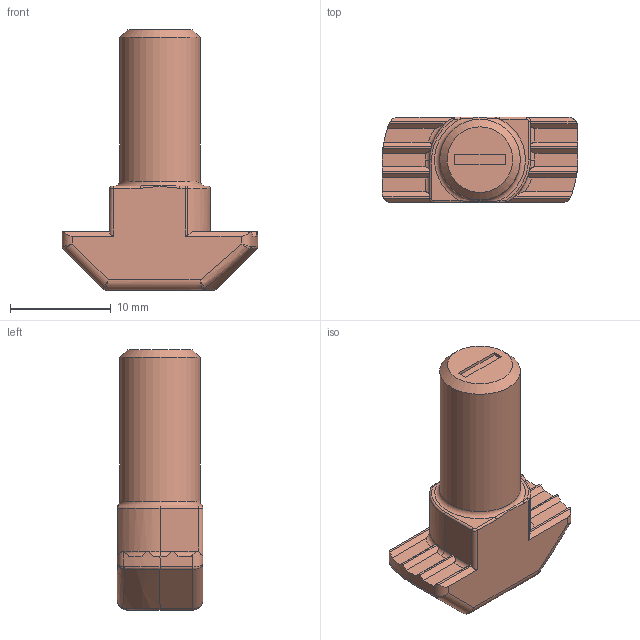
import cadquery as cq
import math

HEAD_LENGTH = 19.4
HEAD_WIDTH = 8.5
HEAD_HEIGHT = 5.8
HEAD_BEVEL_RISE = 4.15
HEAD_SIDE_ROUND = 1.0
HEAD_BEVEL_ROUND = 0.4

RIDGE_COUNT = 4
RIDGE_HEIGHT = 0.45
RIDGE_CREST_WIDTH = 0.2

NECK_LENGTH = 10.0
NECK_TOP = 10.3
NECK_CORNER_ROUND = 0.4
NECK_TOP_ROUND = 0.2
NECK_FOOT_ROUND = RIDGE_HEIGHT

SHANK_DIAMETER = 8.0
SHANK_TOP = 25.8
SHANK_FOOT_ROUND = 0.5
TIP_CHAMFER = 0.75

SLOT_LENGTH = 5.0
SLOT_WIDTH = 1.0
SLOT_DEPTH = 0.3

EDGE_TOLERANCE = 0.01

head_radius = HEAD_LENGTH / 2
half_width = HEAD_WIDTH / 2
neck_radius = NECK_LENGTH / 2
shank_radius = SHANK_DIAMETER / 2
flare_radius = shank_radius + SHANK_FOOT_ROUND
ridge_foot_width = RIDGE_CREST_WIDTH + 2 * RIDGE_HEIGHT
ridge_pitch = (HEAD_WIDTH - ridge_foot_width) / (RIDGE_COUNT - 1)
outer_ridge_y = half_width - ridge_foot_width / 2
groove_floor = HEAD_HEIGHT - RIDGE_HEIGHT


def half_turn_pair(shape):
    """The shape joined with its copy turned half a turn about Z."""
    return shape.union(shape.rotate((0, 0, 0), (0, 0, 1), 180))


def head_end_profile():
    """Half section of the head in the XZ plane, on the +X side."""
    return (
        cq.Workplane("XZ")
        .lineTo(head_radius - HEAD_BEVEL_RISE, 0)
        .lineTo(head_radius, HEAD_BEVEL_RISE)
        .lineTo(head_radius, HEAD_HEIGHT)
        .lineTo(0, HEAD_HEIGHT)
        .close()
    )


def head_blank():
    """Head without ridges: two flat-ended quarters and two round-ended quarters."""
    straight_quarter = head_end_profile().extrude(-half_width)
    width_limit = cq.Workplane("XY").box(
        HEAD_LENGTH, HEAD_WIDTH, HEAD_HEIGHT, centered=(True, True, False)
    )
    round_quarter = (
        head_end_profile()
        .revolve(90, (0, 0, 0), (0, 1, 0))
        .rotate((0, 0, 0), (0, 0, 1), -90)
    )
    blank = half_turn_pair(straight_quarter.union(round_quarter.intersect(width_limit)))
    for side in ("<Y", ">Y"):
        blank = blank.faces(side).edges("not(>Z)").fillet(HEAD_SIDE_ROUND)
    return round_bevel_ends(blank)


def round_bevel_ends(blank):
    """Round the edges across the head where the bevels meet the ends and the bottom."""
    bevel_foot_x = head_radius - HEAD_BEVEL_RISE
    crossing_edges = cq.Workplane("XY")
    for side in (-1, 1):
        for x, z in ((bevel_foot_x, 0), (head_radius, HEAD_BEVEL_RISE)):
            near = cq.selectors.BoxSelector(
                (side * x - HEAD_SIDE_ROUND / 2, -half_width, z - EDGE_TOLERANCE),
                (side * x + HEAD_SIDE_ROUND / 2, half_width, z + EDGE_TOLERANCE),
            )
            crossing_edges = crossing_edges.add(blank.edges(near))
    return blank.newObject(crossing_edges.vals()).fillet(HEAD_BEVEL_ROUND)


def ridge_grooves():
    """Cutters for the grooves between the ridges, and for the outer flanks beside the side faces."""
    half_foot = ridge_foot_width / 2
    half_crest = RIDGE_CREST_WIDTH / 2
    start_y = -outer_ridge_y - ridge_pitch
    cutters = cq.Workplane("YZ")
    for index in range(RIDGE_COUNT + 1):
        left_ridge_y = start_y + index * ridge_pitch
        right_ridge_y = left_ridge_y + ridge_pitch
        groove = (
            cq.Workplane("YZ")
            .moveTo(left_ridge_y + half_foot, groove_floor)
            .lineTo(right_ridge_y - half_foot, groove_floor)
            .lineTo(right_ridge_y - half_crest, HEAD_HEIGHT)
            .lineTo(left_ridge_y + half_crest, HEAD_HEIGHT)
            .close()
            .extrude(head_radius, both=True)
        )
        cutters = cutters.add(groove)
    return cutters.combine()


def neck_prism(bottom, top):
    """Neck before its sides are trimmed to the head width."""
    r = neck_radius
    diagonal = r * math.sqrt(0.5)
    return (
        cq.Workplane("XY", origin=(0, 0, bottom))
        .moveTo(r, 0)
        .lineTo(r, r)
        .lineTo(0, r)
        .threePointArc((-diagonal, diagonal), (-r, 0))
        .lineTo(-r, -r)
        .lineTo(0, -r)
        .threePointArc((diagonal, -diagonal), (r, 0))
        .close()
        .extrude(top - bottom)
    )


def raised_block(width, top):
    """Block as long as the head, of the given width in Y, from the groove floor up to the given top."""
    return cq.Workplane("XY", origin=(0, 0, groove_floor)).box(
        HEAD_LENGTH, width, top - groove_floor, centered=(True, True, False)
    )


def neck_foot():
    """Concave round between the neck and the groove floors, ending at the outer ridges."""
    plate_side = 2 * HEAD_LENGTH
    plate = cq.Workplane("XY").box(plate_side, plate_side, groove_floor, centered=(True, True, False))
    foot = plate.union(neck_prism(groove_floor, NECK_TOP))
    around_neck = cq.selectors.BoxSelector(
        (-NECK_LENGTH, -NECK_LENGTH, groove_floor - EDGE_TOLERANCE),
        (NECK_LENGTH, NECK_LENGTH, groove_floor + EDGE_TOLERANCE),
    )
    foot = foot.edges(around_neck).fillet(NECK_FOOT_ROUND)
    return foot.intersect(raised_block(2 * outer_ridge_y, HEAD_HEIGHT))


def shank_foot():
    """Flared root of the shank on top of the neck."""
    bend = SHANK_FOOT_ROUND * (1 - math.sqrt(0.5))
    return (
        cq.Workplane("XZ")
        .moveTo(0, NECK_TOP)
        .lineTo(flare_radius, NECK_TOP)
        .threePointArc((shank_radius + bend, NECK_TOP + bend), (shank_radius, NECK_TOP + SHANK_FOOT_ROUND))
        .lineTo(0, NECK_TOP + SHANK_FOOT_ROUND)
        .close()
        .revolve(360, (0, 0, 0), (0, 1, 0))
    )


def neck():
    """Neck with the flared shank root, both trimmed flush with the head's side faces."""
    side_block = raised_block(HEAD_WIDTH, SHANK_TOP)
    body = neck_prism(groove_floor, NECK_TOP).intersect(side_block)
    body = body.faces("<Y or >Y").edges("|Z").fillet(NECK_CORNER_ROUND)
    body = body.union(shank_foot().intersect(side_block))

    def on_top_rim(edge):
        box = edge.BoundingBox()
        middle = edge.positionAt(0.5)
        at_top = box.zmin > NECK_TOP - EDGE_TOLERANCE and box.zmax < NECK_TOP + SHANK_FOOT_ROUND / 2
        on_flare_circle = abs(math.hypot(middle.x, middle.y) - flare_radius) < EDGE_TOLERANCE
        return at_top and not on_flare_circle

    top_rim = [edge for edge in body.edges().vals() if on_top_rim(edge)]
    return body.newObject(top_rim).fillet(NECK_TOP_ROUND)


def shank():
    """Round bar from inside the neck to the chamfered, slotted tip."""
    bar = cq.Workplane("XY", origin=(0, 0, groove_floor)).circle(shank_radius).extrude(SHANK_TOP - groove_floor)
    bar = bar.faces(">Z").chamfer(TIP_CHAMFER)
    slot = cq.Workplane("XY", origin=(0, 0, SHANK_TOP - SLOT_DEPTH)).rect(SLOT_LENGTH, SLOT_WIDTH)
    return bar.cut(slot.extrude(SLOT_DEPTH))


result = head_blank().cut(ridge_grooves())
for feature in (neck_foot(), neck(), shank()):
    result = result.union(feature)